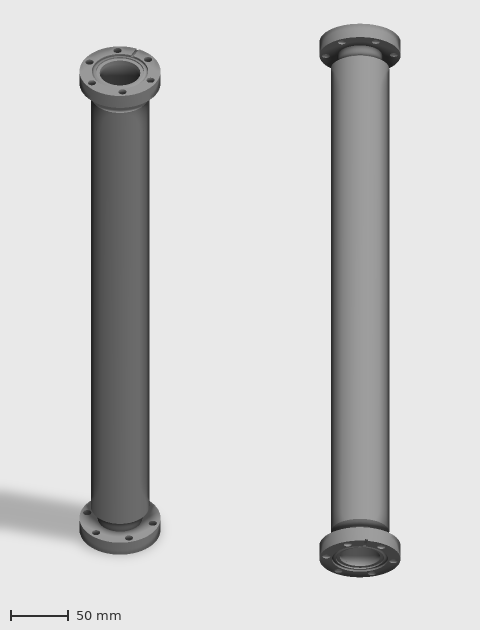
import cadquery as cq

total_length = 500.0
half_length = total_length / 2

flange_diameter = 70.0
flange_thickness = 13.0
lower_flange_turn = 11.0
flange_inner_face = half_length - flange_thickness

bolt_hole_count = 6
bolt_hole_diameter = 7.0
bolt_circle_diameter = 58.5

recess_diameter = 48.5
knife_diameter = 41.5
knife_tip_depth = 0.7
recess_depth = 2.0

groove_width = 2.5
groove_depth = 1.5
groove_angle = 120.0

tube_diameter = 38.5
bore_diameter = 35.0
tube_end_depth = 4.5

neck_length = 9.0
cone_length = 4.0
jacket_diameter = 50.5
jacket_half_length = flange_inner_face - neck_length


def make_sealing_recess():
    """Recess sloping down from the knife edge to its wall, with a flat floor inside the knife edge."""
    recess_radius = recess_diameter / 2
    knife_radius = knife_diameter / 2
    return (
        cq.Workplane("XZ")
        .moveTo(0, 0)
        .lineTo(recess_radius, 0)
        .lineTo(recess_radius, -recess_depth)
        .lineTo(knife_radius, -knife_tip_depth)
        .lineTo(knife_radius, -recess_depth)
        .lineTo(0, -recess_depth)
        .close()
        .revolve(360, (0, 0, 0), (0, 1, 0))
    )


def make_bolt_holes():
    return (
        cq.Workplane("XY")
        .polarArray(bolt_circle_diameter / 2, 90, 360, bolt_hole_count)
        .circle(bolt_hole_diameter / 2)
        .extrude(-flange_thickness)
    )


def make_leak_groove():
    """Radial slot that starts at the recess wall and is open at the rim."""
    groove_start = (recess_diameter - groove_width) / 2
    groove_length = flange_diameter / 2 - groove_start
    return (
        cq.Workplane("XY")
        .center(groove_start + groove_length / 2, 0)
        .rect(groove_length, groove_width)
        .extrude(-groove_depth)
        .rotate((0, 0, 0), (0, 0, 1), groove_angle)
    )


def make_flange():
    """Flange with its sealing face up, at Z = 0."""
    blank = cq.Workplane("XY").circle(flange_diameter / 2).extrude(-flange_thickness)
    bore = cq.Workplane("XY").circle(bore_diameter / 2).extrude(-flange_thickness)
    tube_socket = (
        cq.Workplane("XY", origin=(0, 0, -flange_thickness))
        .circle(tube_diameter / 2)
        .extrude(flange_thickness - tube_end_depth)
    )
    return (
        blank.cut(bore)
        .cut(tube_socket)
        .cut(make_sealing_recess())
        .cut(make_bolt_holes())
        .cut(make_leak_groove())
    )


def make_tube():
    tube_half_length = half_length - tube_end_depth
    return (
        cq.Workplane("XY", origin=(0, 0, -tube_half_length))
        .circle(tube_diameter / 2)
        .circle(bore_diameter / 2)
        .extrude(2 * tube_half_length)
    )


def make_jacket():
    """Sleeve around the tube whose end cones taper down to the tube surface."""
    tube_radius = tube_diameter / 2
    jacket_radius = jacket_diameter / 2
    shoulder = jacket_half_length - cone_length
    return (
        cq.Workplane("XZ")
        .moveTo(tube_radius, -jacket_half_length)
        .lineTo(jacket_radius, -shoulder)
        .lineTo(jacket_radius, shoulder)
        .lineTo(tube_radius, jacket_half_length)
        .close()
        .revolve(360, (0, 0, 0), (0, 1, 0))
    )


flanges = []
for tilt, turn, height in [(0, 0, half_length), (180, lower_flange_turn, -half_length)]:
    flange = (
        make_flange()
        .rotate((0, 0, 0), (1, 0, 0), tilt)
        .rotate((0, 0, 0), (0, 0, 1), turn)
        .translate((0, 0, height))
    )
    flanges.append(flange.val())

tube = make_tube()
jacket = make_jacket()

result = cq.Compound.makeCompound([*flanges, tube.val(), jacket.val()])